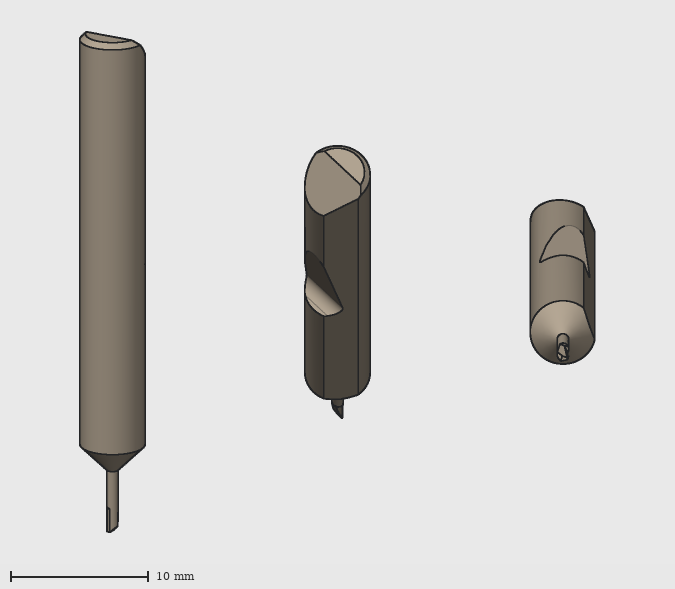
import cadquery as cq
import math

total_length = 38.1
shank_radius = 2.38
neck_radius = 0.42
neck_length = 4.72
cone_height = shank_radius - neck_radius
top_chamfer = 0.42

slant_start_y = -0.5

flat_distance = 2.02
flat_direction = 144.0

notch_bottom = 19.62
notch_top = 28.4
notch_depth = 1.3
notch_radius = 0.9

taper_top_z = 2.0
taper_top_y = 0.285
taper_tip_y = -0.05
relief_top_z = 1.83
relief_bottom_z = 0.35
relief_distance = 0.21
relief_direction = 135.0
side_facet_distance = 0.35
side_facet_direction = 237.0
tip_chamfer = 0.4
tip_corner_x = -0.285
tip_end_rise = 0.08

clearance = 2 * shank_radius


def make_body():
    """Turned blank: neck, cone, shank and chamfered top."""
    return (
        cq.Workplane("XZ")
        .moveTo(0, 0)
        .lineTo(neck_radius, 0)
        .lineTo(neck_radius, neck_length)
        .lineTo(shank_radius, neck_length + cone_height)
        .lineTo(shank_radius, total_length - top_chamfer)
        .lineTo(shank_radius - top_chamfer, total_length)
        .lineTo(0, total_length)
        .close()
        .revolve(360, (0, 0, 0), (0, 1, 0))
    )


def cutter_along_x(points):
    """Prism through the bar along X, from a list of (Y, Z) points."""
    return cq.Workplane("YZ").polyline(points).close().extrude(clearance, both=True)


def make_flat():
    """Block outside the shank flat."""
    return (
        cq.Workplane("XY")
        .box(clearance, clearance, total_length, centered=(False, True, False))
        .translate((flat_distance, 0, 0))
        .rotate((0, 0, 0), (0, 0, 1), flat_direction)
    )


def make_slant():
    drop = clearance - slant_start_y
    return cutter_along_x([
        (slant_start_y, total_length),
        (clearance, total_length),
        (clearance, total_length - drop),
    ])


def make_notch():
    """Ramp leading into a square shoulder with a rounded inner corner."""
    floor_y = shank_radius - notch_depth
    ramp_angle = math.atan2(notch_depth, notch_top - notch_bottom - notch_radius)
    ramp_run = (clearance - floor_y) / math.tan(ramp_angle)
    arc_centre = (floor_y + notch_radius, notch_bottom + notch_radius)
    arc_middle = (
        arc_centre[0] - notch_radius * math.cos(math.pi / 4),
        arc_centre[1] - notch_radius * math.sin(math.pi / 4),
    )
    return (
        cq.Workplane("YZ")
        .moveTo(clearance, notch_bottom)
        .lineTo(arc_centre[0], notch_bottom)
        .threePointArc(arc_middle, (floor_y, arc_centre[1]))
        .lineTo(clearance, arc_centre[1] + ramp_run)
        .close()
        .extrude(clearance, both=True)
    )


def make_tip_taper():
    """Tapered face on the +Y side of the tip, with a 45 degree run-out."""
    run_out = neck_radius - taper_top_y
    return cutter_along_x([
        (taper_tip_y, 0),
        (taper_top_y, taper_top_z),
        (neck_radius, taper_top_z + run_out),
        (clearance, taper_top_z + run_out),
        (clearance, 0),
    ])


def make_tip_facet(distance, direction, bottom_z):
    """Cutter for a flat at an angle about Z, with a 45 degree run-out at its upper end."""
    run_out = neck_radius - distance
    return (
        cq.Workplane("XZ")
        .polyline([
            (distance, bottom_z),
            (distance, relief_top_z),
            (neck_radius, relief_top_z + run_out),
            (clearance, relief_top_z + run_out),
            (clearance, bottom_z),
        ])
        .close()
        .extrude(clearance, both=True)
        .rotate((0, 0, 0), (0, 0, 1), direction)
    )


def make_tip_end():
    """Slightly inclined end face and the chamfer on its +X corner."""
    chamfer_x = neck_radius - tip_chamfer
    return (
        cq.Workplane("XZ")
        .polyline([
            (tip_corner_x, 0),
            (chamfer_x, tip_end_rise),
            (neck_radius, tip_end_rise + tip_chamfer),
            (neck_radius, 0),
        ])
        .close()
        .extrude(clearance, both=True)
    )


result = (
    make_body()
    .cut(make_flat())
    .cut(make_slant())
    .cut(make_notch())
    .cut(make_tip_taper())
    .cut(make_tip_facet(relief_distance, relief_direction, relief_bottom_z))
    .cut(make_tip_facet(side_facet_distance, side_facet_direction, 0))
    .cut(make_tip_end())
)